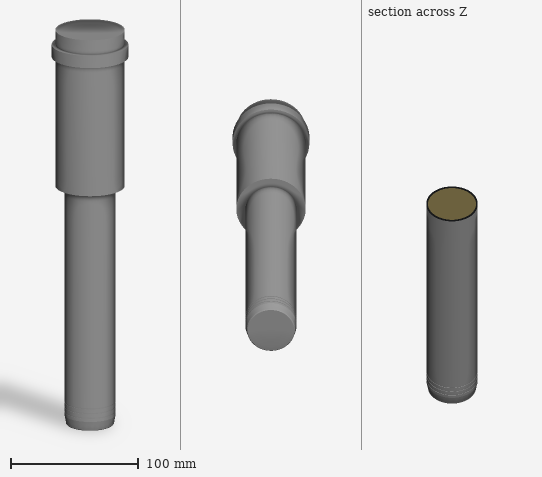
import cadquery as cq

total_length = 323.0
head_length = 12.0
flange_thickness = 10.0
sleeve_end_depth = 128.0

flange_radius = 30.0
sleeve_radius = 27.0
pin_radius = 20.0
tip_radius = 18.7

taper_length = 7.8
tip_chamfer = 0.5
first_groove_height = 10.3
groove_count = 3
groove_pitch = 4.0
groove_width = 1.0
groove_depth = 0.3

flange_top = total_length - head_length
flange_bottom = flange_top - flange_thickness
sleeve_bottom = total_length - sleeve_end_depth


def cut_groove(solid, radius, bottom):
    """Cut a shallow ring groove into a round section of the given radius."""
    ring = (
        cq.Workplane("XY")
        .workplane(offset=bottom)
        .circle(radius)
        .circle(radius - groove_depth)
        .extrude(groove_width)
    )
    return solid.cut(ring)


profile = [
    (0, 0),
    (tip_chamfer - tip_radius, 0),
    (-tip_radius, tip_chamfer),
    (-pin_radius, taper_length),
    (-pin_radius, sleeve_bottom),
    (-sleeve_radius, sleeve_bottom),
    (-sleeve_radius, flange_bottom),
    (-flange_radius, flange_bottom),
    (-flange_radius, flange_top),
    (-sleeve_radius, flange_top),
    (-sleeve_radius, total_length),
    (0, total_length),
]
body = cq.Workplane("XZ").polyline(profile).close().revolve(360, (0, 0, 0), (0, 1, 0))

for index in range(groove_count):
    body = cut_groove(body, pin_radius, first_groove_height + index * groove_pitch)

body = cut_groove(body, sleeve_radius, flange_top)
body = cut_groove(body, sleeve_radius, flange_bottom - groove_width)
body = cut_groove(body, pin_radius, sleeve_bottom - groove_width)

result = body